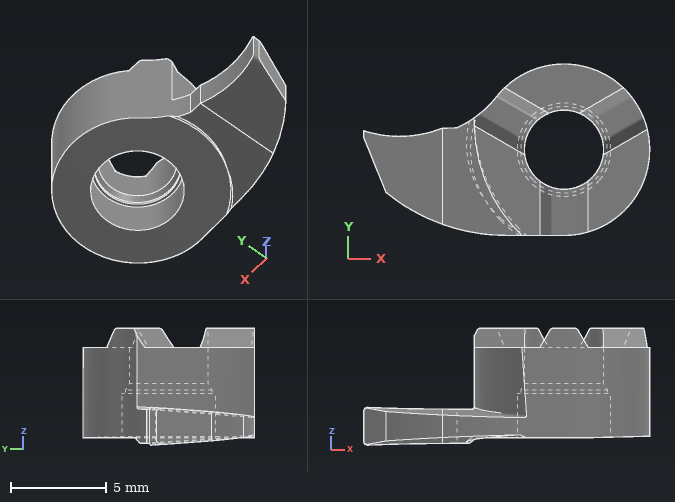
import math

import cadquery as cq


hub_radius = 4.5
hub_top = 4.14
hub_bottom = -0.61
heel_start = 1.2
heel_slope = 0.025

bore_radius = 2.07
flare_top = 2.24
flare_height = 0.35
flare_growth = 0.2
land_height = 0.17
recess_radius = 2.45

tooth_count = 3
tooth_height = 1.0
tooth_base_width = 2.52
tooth_flank_angle = 30
tooth_edge_radius = 0.2
first_tooth_angle = -90

nose_x = -10.5
nose_top_y = 1.0
nose_bottom_y = 0.64
heel_corner_x = -9.34
back_radius = 10.0
back_start_x = -3.0
gullet_radius = 5.4
gullet_start_angle = 142
gullet_end_x = -5.62
seam_x = -6.38
seam_top_y = 1.13
rake_radius = 6.0

nose_half_thickness = 1.005
length_slope = 0.025
side_tilt = 3.65
nose_edge_radius = 0.22

wall_left_x = -4.71
wall_radius = 8.2
wall_center_y = 1.41
wall_fillet = 0.12
wall_foot = (-4.4, -0.9, 0.75)

seat_radius = 4.9
seat_bevel = 0.5

wall_center_x = wall_left_x + wall_radius
tilt_sin = math.sin(math.radians(side_tilt))
tilt_cos = math.cos(math.radians(side_tilt))
MARGIN = 3.0


def polar(radius, degrees):
    angle = math.radians(degrees)
    return (radius * math.cos(angle), radius * math.sin(angle))


def back_y(x):
    """Y of the curved back of the blade at a given x."""
    center_y = back_radius - hub_radius
    return center_y - math.sqrt(back_radius**2 - (x - back_start_x) ** 2)


def plan_prism(bottom, top):
    """The whole plan outline as an upright prism."""
    gullet_start = polar(hub_radius, gullet_start_angle)
    center_x, center_y = polar(hub_radius + gullet_radius, gullet_start_angle)
    gullet_end_y = center_y - math.sqrt(gullet_radius**2 - (gullet_end_x - center_x) ** 2)
    back_middle_x = (back_start_x + heel_corner_x) / 2
    return (
        cq.Workplane("XY", origin=(0, 0, bottom))
        .moveTo(0, -hub_radius)
        .threePointArc((hub_radius, 0), gullet_start)
        .radiusArc((gullet_end_x, gullet_end_y), gullet_radius)
        .lineTo(seam_x, seam_top_y)
        .radiusArc((nose_x, nose_top_y), rake_radius)
        .lineTo(nose_x, nose_bottom_y)
        .lineTo(heel_corner_x, back_y(heel_corner_x))
        .threePointArc((back_middle_x, back_y(back_middle_x)), (back_start_x, -hub_radius))
        .close()
        .extrude(top - bottom)
    )


def wall_cylinder():
    """Leaning cylinder whose left side is the wall between hub and blade."""
    lean = cq.Plane(
        origin=(wall_center_x, wall_center_y, hub_top),
        xDir=(1, 0, 0),
        normal=(0, -tilt_sin, tilt_cos),
    )
    depth = hub_top - hub_bottom + MARGIN
    return (
        cq.Workplane(lean)
        .workplane(offset=-depth)
        .circle(wall_radius)
        .extrude(depth + MARGIN)
    )


def tooth(angle):
    """One driving tooth, reaching out from the bore axis beyond the hub rim."""
    half_base = tooth_base_width / 2
    half_top = half_base - tooth_height * math.tan(math.radians(tooth_flank_angle))
    return (
        cq.Workplane("YZ", origin=(0, 0, hub_top))
        .moveTo(-half_base, 0)
        .lineTo(-half_top, tooth_height)
        .lineTo(half_top, tooth_height)
        .lineTo(half_base, 0)
        .close()
        .extrude(hub_radius + MARGIN)
        .edges("|X and >Z")
        .fillet(tooth_edge_radius)
        .rotate((0, 0, 0), (0, 0, 1), angle)
    )


def hub():
    block = plan_prism(hub_bottom, hub_top)
    tooth_limits = plan_prism(hub_top, hub_top + tooth_height)
    for index in range(tooth_count):
        tooth_angle = first_tooth_angle + index * 360 / tooth_count
        block = block.union(tooth(tooth_angle).intersect(tooth_limits))
    return block.intersect(wall_cylinder())


def heel_relief():
    """Wedge removed from the underside so that it rises towards +X."""
    reach = hub_radius + MARGIN
    rise = (reach - heel_start) * heel_slope
    return (
        cq.Workplane("XZ", origin=(0, reach, 0))
        .moveTo(heel_start, hub_bottom)
        .lineTo(heel_start, hub_bottom - MARGIN)
        .lineTo(reach, hub_bottom - MARGIN)
        .lineTo(reach, hub_bottom + rise)
        .close()
        .extrude(2 * reach)
    )


def seat_cone(direction):
    """Cone widening at 45 degrees from the rim of the round underside, up (1) or down (-1)."""
    cone = cq.Solid.makeCone(
        seat_radius,
        seat_radius + seat_bevel,
        seat_bevel,
        pnt=cq.Vector(0, 0, hub_bottom),
        dir=cq.Vector(0, 0, direction),
    )
    return cq.Workplane(cone)


def below_blade_top():
    """Everything under the sloping top of the blade, with the nose edge rounded."""
    length = -nose_x
    face = cq.Plane(
        origin=(nose_x, nose_top_y, 0), xDir=(1, 0, 0), normal=(0, -tilt_cos, -tilt_sin)
    )
    return (
        cq.Workplane(face)
        .workplane(offset=-MARGIN)
        .moveTo(0, -MARGIN)
        .lineTo(0, nose_half_thickness - nose_edge_radius)
        .tangentArcPoint(
            (nose_edge_radius, nose_half_thickness - nose_edge_radius * length_slope),
            relative=False,
        )
        .lineTo(length, nose_half_thickness - length * length_slope)
        .lineTo(length, -MARGIN)
        .close()
        .extrude(hub_radius + nose_top_y + 2 * MARGIN)
    )


def blade():
    """Wedge-shaped blade, cleared away below the round underside of the hub."""
    top_half = below_blade_top()
    wedge = top_half.intersect(top_half.mirror("XY"))
    outline = plan_prism(-nose_half_thickness, nose_half_thickness)
    return outline.intersect(wedge).cut(seat_cone(-1))


def seat_edge():
    """Bevelled rim of the round underside where it stands below the blade."""
    return seat_cone(1).intersect(plan_prism(hub_bottom, hub_bottom + seat_bevel))


def bore():
    flare_bottom = flare_top - flare_height
    land_bottom = flare_bottom - land_height
    profile = (
        cq.Workplane("XZ")
        .moveTo(0, hub_top + tooth_height)
        .lineTo(bore_radius, hub_top + tooth_height)
        .lineTo(bore_radius, flare_top)
        .lineTo(bore_radius + flare_growth, flare_bottom)
        .lineTo(bore_radius + flare_growth, land_bottom)
        .lineTo(recess_radius, land_bottom)
        .lineTo(recess_radius, hub_bottom - MARGIN)
        .lineTo(0, hub_bottom - MARGIN)
        .close()
    )
    return profile.revolve(360, (0, 0, 0), (0, 1, 0))


def tip_side():
    """Half space holding the cutting tip."""
    size = 4 * hub_radius
    return cq.Workplane("XY").box(size, size, size).translate((seam_x - size / 2, 0, 0))


whole = hub().union(blade()).union(seat_edge()).cut(bore()).cut(heel_relief())
whole = whole.edges(cq.NearestToPointSelector(wall_foot)).fillet(wall_fillet)

shank = whole.cut(tip_side())
cutting_tip = whole.intersect(tip_side())

result = cq.Compound.makeCompound([shank.val(), cutting_tip.val()])